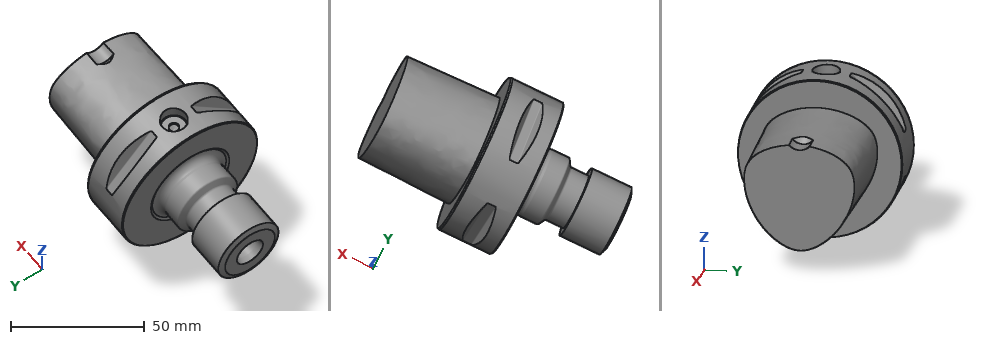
import cadquery as cq
import math

nose_end = 17.5
neck_end = 25.1
collar_start = 26.9
relief_start = 34.0
fillet_start = 35.0
flange_start = 37.8
flange_end = 60.1
total_length = 98.0

edge_tolerance = 0.05

nose_diameter = 28.0
nose_face_diameter = 23.1
nose_chamfer_length = 1.0
neck_diameter = 22.0
neck_fillet = 0.8
collar_diameter = 27.8
collar_edge_fillet = 0.8
relief_diameter = 27.4
root_radius = 3.4
undercut_outer_diameter = 36.5
flange_diameter = 63.0
flange_front_chamfer = 0.4
flange_rear_chamfer_length = 0.7
flange_rear_chamfer_height = 0.3

bore_mouth_diameter = 12.2
bore_taper_length = 2.6
bore_diameter = 11.0
bore_depth = 19.6
drill_half_angle = 59.0

shank_mean_radius = 22.05
lobe_height = 1.5
shank_taper = 1 / 40

keyway_width = 8.1
keyway_depth = 2.0
keyway_length = 6.5

rim_feature_x = 48.0
grip_floor_distance = 27.8
grip_floor_width = 3.5
grip_flank_angle = 30.0
grip_corner_radius = 0.5
grip_angles = (45, 135, 225, 315)
socket_diameter = 10.5
socket_floor_diameter = 10.0
socket_floor_chamfer = (socket_diameter - socket_floor_diameter) / 2
socket_depth = 5.1
pilot_diameter = 4.0
pilot_depth = 1.0


def drill_tip_length(diameter):
    return diameter / 2 / math.tan(math.radians(drill_half_angle))


def round_edge_at(body, x, radius):
    """Fillet the circular edge that lies in the plane at x."""
    reach = flange_diameter
    edge_plane = cq.selectors.BoxSelector(
        (x - edge_tolerance, -reach, -reach),
        (x + edge_tolerance, reach, reach),
        boundingbox=True,
    )
    return body.edges(edge_plane).fillet(radius)


def turned_body():
    """Nose, neck, collar and flange with its undercut root fillet."""
    flange_radius = flange_diameter / 2
    relief_radius = relief_diameter / 2
    undercut_x = fillet_start + root_radius
    arc_step = root_radius * math.sqrt(0.5)
    arc_middle = (fillet_start + arc_step, relief_radius + root_radius - arc_step)
    rear_chamfer_start = flange_end - flange_rear_chamfer_length
    profile = (
        cq.Workplane("XY")
        .moveTo(0, 0)
        .lineTo(0, nose_face_diameter / 2)
        .lineTo(nose_chamfer_length, nose_diameter / 2)
        .lineTo(nose_end, nose_diameter / 2)
        .lineTo(nose_end, neck_diameter / 2)
        .lineTo(neck_end, neck_diameter / 2)
        .lineTo(collar_start, collar_diameter / 2)
        .lineTo(relief_start, collar_diameter / 2)
        .lineTo(fillet_start, relief_radius)
        .threePointArc(arc_middle, (undercut_x, relief_radius + root_radius))
        .lineTo(flange_start, undercut_outer_diameter / 2)
        .lineTo(flange_start, flange_radius - flange_front_chamfer)
        .lineTo(flange_start + flange_front_chamfer, flange_radius)
        .lineTo(rear_chamfer_start, flange_radius)
        .lineTo(flange_end, flange_radius - flange_rear_chamfer_height)
        .lineTo(flange_end, 0)
        .close()
    )
    body = profile.revolve(360, (0, 0, 0), (1, 0, 0))
    body = round_edge_at(body, neck_end, neck_fillet)
    return round_edge_at(body, collar_start, collar_edge_fillet)


def shank_radius(x):
    return shank_mean_radius - shank_taper * (x - flange_end)


def shank_section(x):
    """Closed three-lobed outline with one lobe pointing along -Z."""
    mean_radius = shank_radius(x)

    def outline_point(t):
        angle = 2 * math.pi * t
        support = mean_radius + lobe_height * math.sin(3 * angle)
        slope = 3 * lobe_height * math.cos(3 * angle)
        y = support * math.cos(angle) - slope * math.sin(angle)
        z = support * math.sin(angle) + slope * math.cos(angle)
        return (y, z)

    section = cq.Workplane("YZ", origin=(x, 0, 0)).parametricCurve(outline_point, N=120)
    return section.wires().val()


def shank():
    sections = [shank_section(flange_end), shank_section(total_length)]
    return cq.Workplane(cq.Solid.makeLoft(sections, True))


def nose_bore():
    tip_x = bore_depth + drill_tip_length(bore_diameter)
    return (
        cq.Workplane("XY")
        .moveTo(0, 0)
        .lineTo(0, bore_mouth_diameter / 2)
        .lineTo(bore_taper_length, bore_diameter / 2)
        .lineTo(bore_depth, bore_diameter / 2)
        .lineTo(tip_x, 0)
        .close()
        .revolve(360, (0, 0, 0), (1, 0, 0))
    )


def keyway():
    """Round-bottomed keyway with a 45 degree conical inner end."""
    radius = ((keyway_width / 2) ** 2 + keyway_depth**2) / (2 * keyway_depth)
    flat_height = shank_radius(total_length) - lobe_height
    axis_z = flat_height - keyway_depth + radius
    start_x = total_length - keyway_length
    return (
        cq.Workplane("XZ")
        .moveTo(start_x - radius, axis_z)
        .lineTo(start_x, axis_z - radius)
        .lineTo(total_length, axis_z - radius)
        .lineTo(total_length, axis_z)
        .close()
        .revolve(360, (start_x, axis_z, 0), (total_length, axis_z, 0))
    )


def grip_slot(angle):
    """Straight slot with sloping flanks, cut across the flange rim."""
    height = flange_diameter / 2 - grip_floor_distance
    half_floor = grip_floor_width / 2
    half_mouth = half_floor + height * math.tan(math.radians(grip_flank_angle))
    slot = (
        cq.Workplane("XZ")
        .polyline([
            (rim_feature_x - half_floor, grip_floor_distance),
            (rim_feature_x + half_floor, grip_floor_distance),
            (rim_feature_x + half_mouth, grip_floor_distance + height),
            (rim_feature_x - half_mouth, grip_floor_distance + height),
        ])
        .close()
        .extrude(flange_diameter / 2, both=True)
        .edges("|Y and <Z")
        .fillet(grip_corner_radius)
    )
    return slot.rotate((0, 0, 0), (1, 0, 0), angle)


def rim_socket():
    """Radial socket with a bevelled floor edge and a conical-bottomed pilot hole."""
    rim = flange_diameter / 2
    floor = rim - socket_depth
    pilot_floor = floor - pilot_depth
    axis_x = rim_feature_x
    return (
        cq.Workplane("XZ")
        .moveTo(axis_x, rim)
        .lineTo(axis_x + socket_diameter / 2, rim)
        .lineTo(axis_x + socket_diameter / 2, floor + socket_floor_chamfer)
        .lineTo(axis_x + socket_floor_diameter / 2, floor)
        .lineTo(axis_x + pilot_diameter / 2, floor)
        .lineTo(axis_x + pilot_diameter / 2, pilot_floor)
        .lineTo(axis_x, pilot_floor - drill_tip_length(pilot_diameter))
        .close()
        .revolve(360, (axis_x, 0, 0), (axis_x, rim, 0))
    )


result = turned_body().union(shank())
result = result.cut(nose_bore()).cut(keyway()).cut(rim_socket())
for grip_angle in grip_angles:
    result = result.cut(grip_slot(grip_angle))